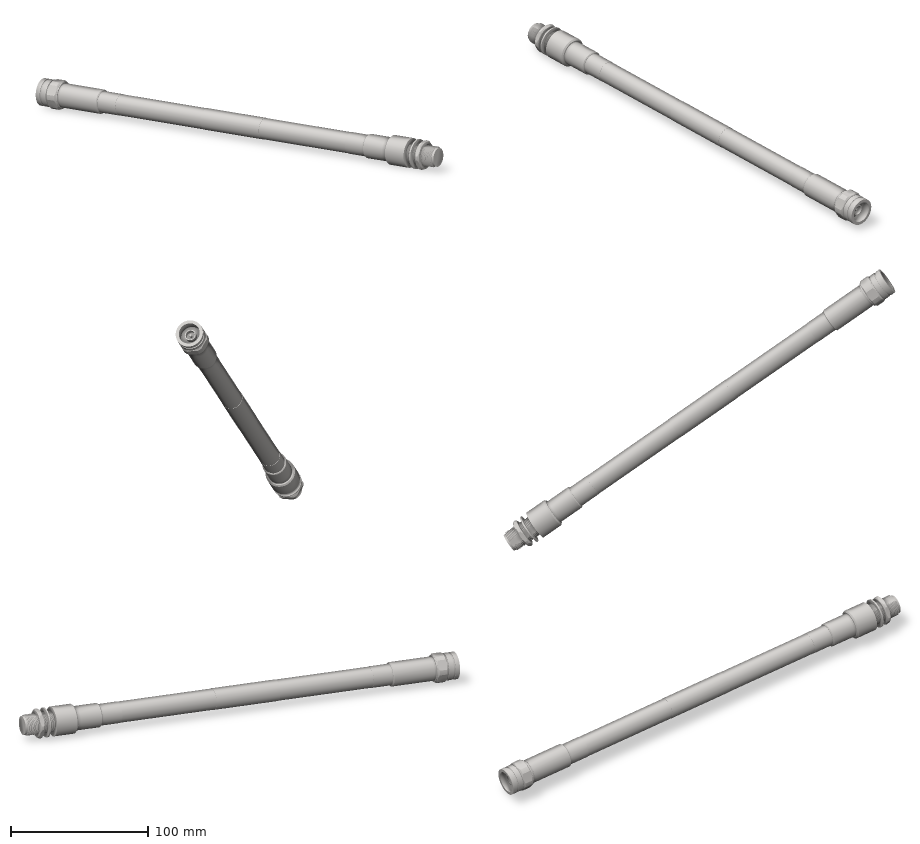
import cadquery as cq
import math


LENGTH = 338.5

CABLE_RADIUS = 7.8
FERRULE_RADIUS = 8.8
COVER_WALL = 0.17
LABEL_START = 140.0
LABEL_END = 189.5

LEFT_BOOT_WIDE_END = 19.3
LEFT_BOOT_SHOULDER = 51.5
LEFT_BOOT_NARROW_END = 66.7
RIGHT_BOOT_NARROW_END = 263.5
RIGHT_BOOT_SHOULDER = 279.0
RIGHT_BOOT_WIDE_END = 298.5
BOOT_CHAMFER = 0.7

CABLE_START = LEFT_BOOT_SHOULDER - BOOT_CHAMFER
CABLE_END = RIGHT_BOOT_SHOULDER + BOOT_CHAMFER

NUT_RADIUS = 10.0
NUT_BORE_RADIUS = 7.8
NUT_GROOVE_START = 3.5
NUT_GROOVE_END = 4.7
NUT_GROOVE_DEPTH = 0.5
NUT_NECK_START = 8.5
NUT_NECK_RADIUS = 9.5
NUT_HEX_START = 9.0
NUT_HEX_END = 17.3
NUT_COLLAR_RADIUS = 9.8
NUT_END = 18.0

NUT_HEX_FLATS = 20.5
LOCKNUT_FLATS = 20.3
HEX_CORNER_RADIUS = 11.0
HEX_CHAMFER = 1.0

PLUG_FLOOR = 7.5
CONTACT_START = 3.5
CONTACT_RADIUS = 4.0
CONTACT_BORE_RADIUS = 3.5
PIN_START = 4.0
PIN_RADIUS = 0.85

COLLAR_RADIUS = 11.0
COLLAR_CHAMFER = 1.0
COLLAR_END = 315.5
THREAD_RADIUS = 7.95
THREAD_DEPTH = 0.7
THREAD_PITCH = 1.0
THREAD_TURNS = 21
JACK_FLATS = 14.0
JACK_TIP_RADIUS = JACK_FLATS / 2

WASHER_START = 320.3
WASHER_THICKNESS = 1.0
LOCKNUT_START = 324.7
LOCKNUT_THICKNESS = 3.5


def turned(profile):
    """Solid of revolution about X from the (x, radius) points of a closed half profile."""
    return cq.Workplane("XY").polyline(profile).close().revolve(360, (0, 0, 0), (1, 0, 0))


def cylinder(start, end, radius):
    return cq.Workplane("YZ", origin=(start, 0, 0)).circle(radius).extrude(end - start)


def tube(start, end, outer_radius, inner_radius):
    return cylinder(start, end, outer_radius).cut(cylinder(start, end, inner_radius))


def hexagon(start, end, across_flats):
    """Hexagonal block with flats facing +Z and -Z, its corners rounded and chamfered."""
    across_corners = across_flats / math.cos(math.pi / 6)
    block = cq.Workplane("YZ", origin=(start, 0, 0)).polygon(6, across_corners).extrude(end - start)
    blank = cylinder(start, end, HEX_CORNER_RADIUS).faces("<X or >X").chamfer(HEX_CHAMFER)
    return block.intersect(blank)


def make_coupling_nut():
    groove_radius = NUT_RADIUS - NUT_GROOVE_DEPTH
    sleeve = cylinder(0, NUT_NECK_START, NUT_RADIUS)
    groove = tube(NUT_GROOVE_START, NUT_GROOVE_END, NUT_RADIUS, groove_radius)
    neck = cylinder(NUT_NECK_START, NUT_HEX_START, NUT_NECK_RADIUS)
    collar = cylinder(NUT_HEX_END, NUT_END, NUT_COLLAR_RADIUS)
    bore = cylinder(0, NUT_END, NUT_BORE_RADIUS)
    return (
        sleeve.cut(groove)
        .union(neck)
        .union(hexagon(NUT_HEX_START, NUT_HEX_END, NUT_HEX_FLATS))
        .union(collar)
        .cut(bore)
    )


def make_plug():
    """Tubular contact, the core inside the coupling nut and the ferrule under the boot."""
    contact = tube(CONTACT_START, PLUG_FLOOR, CONTACT_RADIUS, CONTACT_BORE_RADIUS)
    core = cylinder(PLUG_FLOOR, NUT_END, NUT_BORE_RADIUS)
    ferrule = cylinder(NUT_END, CABLE_START, FERRULE_RADIUS)
    return core.union(contact).union(ferrule)


def make_pin():
    return cylinder(PIN_START, PLUG_FLOOR, PIN_RADIUS)


def make_cable():
    return cylinder(CABLE_START, CABLE_END, CABLE_RADIUS)


def make_label():
    return tube(LABEL_START, LABEL_END, CABLE_RADIUS + COVER_WALL, CABLE_RADIUS)


def make_boot(wide_end, shoulder, ferrule_end, narrow_end):
    """Thin stepped sleeve, chamfered at the shoulder where the ferrule gives way to the cable."""
    wide_radius = FERRULE_RADIUS + COVER_WALL
    narrow_radius = CABLE_RADIUS + COVER_WALL
    return turned([
        (wide_end, FERRULE_RADIUS),
        (wide_end, wide_radius),
        (ferrule_end, wide_radius),
        (shoulder, wide_radius - BOOT_CHAMFER),
        (shoulder, narrow_radius),
        (narrow_end, narrow_radius),
        (narrow_end, CABLE_RADIUS),
        (ferrule_end, CABLE_RADIUS),
        (ferrule_end, FERRULE_RADIUS),
    ])


def make_thread():
    """Ring-shaped thread ridges with two flats facing +Z and -Z."""
    root_radius = THREAD_RADIUS - THREAD_DEPTH
    profile = [(COLLAR_END, 0), (COLLAR_END, root_radius)]
    for turn in range(THREAD_TURNS):
        ridge_start = COLLAR_END + turn * THREAD_PITCH
        profile.append((ridge_start + THREAD_PITCH / 2, THREAD_RADIUS))
        profile.append((ridge_start + THREAD_PITCH, root_radius))
    thread_end = COLLAR_END + THREAD_TURNS * THREAD_PITCH
    profile.append((thread_end, 0))
    flats = cq.Workplane("XY").box(2 * LENGTH, 2 * COLLAR_RADIUS, JACK_FLATS)
    return turned(profile).intersect(flats)


def make_jack():
    """Ferrule under the boot, chamfered collar, flatted thread and plain tip."""
    ferrule = cylinder(CABLE_END, RIGHT_BOOT_WIDE_END, FERRULE_RADIUS)
    collar = (
        cylinder(RIGHT_BOOT_WIDE_END, COLLAR_END, COLLAR_RADIUS)
        .faces("<X")
        .chamfer(COLLAR_CHAMFER)
    )
    tip = cylinder(COLLAR_END, LENGTH, JACK_TIP_RADIUS)
    return ferrule.union(collar).union(make_thread()).union(tip)


def make_lock_washer():
    return tube(WASHER_START, WASHER_START + WASHER_THICKNESS, COLLAR_RADIUS, THREAD_RADIUS)


def make_locknut():
    end = LOCKNUT_START + LOCKNUT_THICKNESS
    bore = cylinder(LOCKNUT_START, end, THREAD_RADIUS)
    return hexagon(LOCKNUT_START, end, LOCKNUT_FLATS).cut(bore)


coupling_nut = make_coupling_nut()
plug = make_plug()
pin = make_pin()
cable = make_cable()
label = make_label()
boot_places = [
    (LEFT_BOOT_WIDE_END, LEFT_BOOT_SHOULDER, CABLE_START, LEFT_BOOT_NARROW_END),
    (RIGHT_BOOT_WIDE_END, RIGHT_BOOT_SHOULDER, CABLE_END, RIGHT_BOOT_NARROW_END),
]
boots = [make_boot(*place).val() for place in boot_places]
jack = make_jack()
lock_washer = make_lock_washer()
locknut = make_locknut()

result = cq.Compound.makeCompound([
    coupling_nut.val(),
    plug.val(),
    pin.val(),
    cable.val(),
    label.val(),
    *boots,
    jack.val(),
    lock_washer.val(),
    locknut.val(),
])